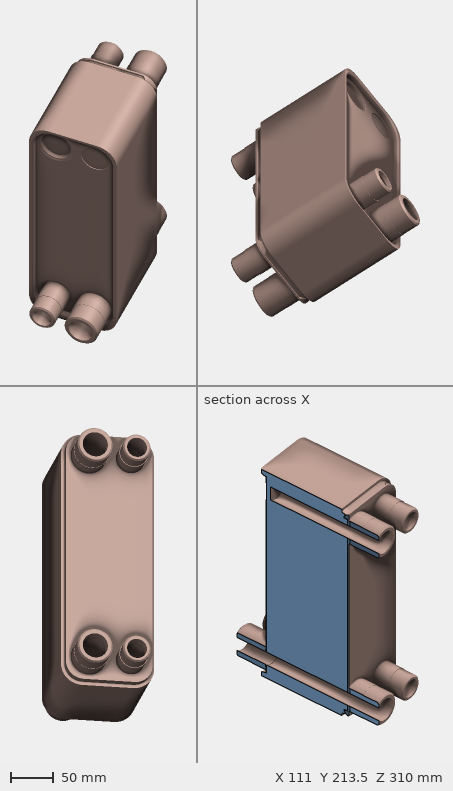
import cadquery as cq
import math


WIDTH = 111.0
HEIGHT = 310.0
CORNER_RADIUS = 25.0
SHOULDER_Y = 121.8

SKIRT_BASE_INSET = 4.0
SKIRT_END_INSET = 6.2

CAVITY_DEPTH = 8.0
LIP_DEPTH = 1.5
CAVITY_MOUTH_INSET = 3.0
LIP_END_INSET = 5.0
CAVITY_FLOOR_INSET = 6.2
CAVITY_CORNER = 30.7

FRONT_THICKNESS = 1.0
FRONT_PLATE_Y = CAVITY_DEPTH - FRONT_THICKNESS
FRONT_PLATE_INSET = 6.8
REAR_FACE_Y = 132.0
REAR_THICKNESS = 2.2
REAR_PLATE_Y = REAR_FACE_Y - REAR_THICKNESS
REAR_PLATE_INSET = 4.0

LUG_DEPTH = 5.5
LUG_RADIUS = CORNER_RADIUS - REAR_PLATE_INSET
LUG_FLARE = 1.0
LUG_TIP_RADIUS = LUG_RADIUS - LUG_FLARE
LUG_INNER_RADIUS = 14.0
LUG_WIDTH = 21.7
LUG_TIP_WIDTH = 10.0

PORT_SPACING_X = 50.0
PORT_X = PORT_SPACING_X / 2
PORT_Z = 124.5
PORT_HOLE_RADIUS = 17.5
DIMPLE_MOUTH_RADIUS = 22.3
DIMPLE_THROAT_RADIUS = 20.8
SEAT_MOUTH_RADIUS = 19.2
SEAT_RADIUS = 17.0
SEAT_DEPTH = 3.5
SEAT_Y = CAVITY_DEPTH + SEAT_DEPTH
COLLAR_RADIUS = 20.8
COLLAR_HEIGHT = 1.5
BLIND_WALL = 3.0

SMALL_RADIUS = 17.0
SMALL_BORE = 11.8
SMALL_RELIEF = 0.5
LARGE_RADIUS = 21.0
LARGE_BORE = 15.0
LARGE_RELIEF = 0.3
END_CHAMFER = 2.0
SMALL_FRONT_STEP_Y = -14.3
SMALL_FRONT_END_Y = -35.0
LARGE_FRONT_STEP_Y = -13.3
LARGE_FRONT_END_Y = -36.5
SMALL_REAR_STEP_Y = 154.7
SMALL_REAR_END_Y = 175.5
LARGE_REAR_STEP_Y = 153.5
LARGE_REAR_END_Y = 177.0

BORES = ((-PORT_X, SMALL_BORE), (PORT_X, LARGE_BORE))


def outline(inset, corner):
    """Pack outline moved inwards by inset, rounded about axes at the corner distance from the sides."""
    sketch = cq.Sketch().rect(WIDTH - 2 * inset, HEIGHT - 2 * inset)
    return sketch.vertices().fillet(corner - inset)


def slab(y_start, y_end, inset, corner=CORNER_RADIUS):
    """Straight block with the inset pack outline."""
    base = cq.Workplane("XZ", origin=(0, y_start, 0)).placeSketch(outline(inset, corner))
    return base.extrude(y_start - y_end)


def tapered_slab(y_start, inset_start, y_end, inset_end, corner=CORNER_RADIUS):
    """Block whose inset changes evenly from one Y to the other."""
    near = outline(inset_start, corner)
    far = outline(inset_end, corner).moved(cq.Location(cq.Vector(0, 0, y_start - y_end)))
    return cq.Workplane("XZ", origin=(0, y_start, 0)).placeSketch(near, far).loft()


def cone(x, z, y_start, radius_start, y_end, radius_end):
    """Cylinder or cone along Y, centred on x and z."""
    profile = [(0, y_start), (radius_start, y_start), (radius_end, y_end), (0, y_end)]
    return cq.Workplane("XY").polyline(profile).close().revolve(360, (0, 0), (0, 1)).translate((x, 0, z))


def corner_lugs():
    """Four flared lugs that reach forward from the corners of the rear plate."""
    tip_y = REAR_PLATE_Y - LUG_DEPTH
    center_x = WIDTH / 2 - CORNER_RADIUS
    center_z = HEIGHT / 2 - CORNER_RADIUS
    flare = cone(0, 0, tip_y, LUG_TIP_RADIUS, REAR_PLATE_Y, LUG_RADIUS)
    wedge = (
        cq.Workplane("YZ", origin=(LUG_INNER_RADIUS, 0, 0))
        .polyline([
            (tip_y, -LUG_TIP_WIDTH / 2),
            (tip_y, LUG_TIP_WIDTH / 2),
            (REAR_PLATE_Y, LUG_WIDTH / 2),
            (REAR_PLATE_Y, -LUG_WIDTH / 2),
        ])
        .close()
        .extrude(LUG_RADIUS - LUG_INNER_RADIUS)
    )
    lugs = []
    for side_x in (-1, 1):
        for side_z in (-1, 1):
            angle = -math.degrees(math.atan2(side_z, side_x))
            lug = wedge.rotate((0, 0, 0), (0, 1, 0), angle).intersect(flare)
            lugs.append(lug.translate((side_x * center_x, 0, side_z * center_z)))
    return lugs


def make_rear_plate():
    plate = slab(REAR_PLATE_Y, REAR_FACE_Y, REAR_PLATE_INSET)
    for lug in corner_lugs():
        plate = plate.union(lug)
    collar_end = REAR_FACE_Y + COLLAR_HEIGHT
    for z in (-PORT_Z, PORT_Z):
        plate = plate.union(cone(PORT_X, z, REAR_PLATE_Y, COLLAR_RADIUS, collar_end, COLLAR_RADIUS))
    for x, bore in BORES:
        for z in (-PORT_Z, PORT_Z):
            plate = plate.cut(cone(x, z, REAR_PLATE_Y, bore, collar_end, bore))
    return plate


def make_front_plate():
    plate = slab(FRONT_PLATE_Y, CAVITY_DEPTH, FRONT_PLATE_INSET, CAVITY_CORNER)
    for z in (-PORT_Z, PORT_Z):
        plate = plate.cut(
            cone(-PORT_X, z, FRONT_PLATE_Y, DIMPLE_MOUTH_RADIUS, CAVITY_DEPTH, DIMPLE_THROAT_RADIUS)
        )
        plate = plate.cut(cone(PORT_X, z, FRONT_PLATE_Y, PORT_HOLE_RADIUS, CAVITY_DEPTH, PORT_HOLE_RADIUS))
    return plate


def make_pack():
    pack = slab(0, SHOULDER_Y, 0)
    pack = pack.union(tapered_slab(SHOULDER_Y, SKIRT_BASE_INSET, REAR_PLATE_Y, SKIRT_END_INSET))
    pack = pack.cut(tapered_slab(0, CAVITY_MOUTH_INSET, LIP_DEPTH, LIP_END_INSET, CAVITY_CORNER))
    pack = pack.cut(tapered_slab(LIP_DEPTH, LIP_END_INSET, CAVITY_DEPTH, CAVITY_FLOOR_INSET, CAVITY_CORNER))
    for z in (-PORT_Z, PORT_Z):
        pack = pack.cut(cone(-PORT_X, z, CAVITY_DEPTH, SEAT_MOUTH_RADIUS, SEAT_Y, SEAT_RADIUS))
    for x, bore in BORES:
        pack = pack.cut(cone(x, -PORT_Z, 0, bore, REAR_PLATE_Y, bore))
        pack = pack.cut(cone(x, PORT_Z, SEAT_Y + BLIND_WALL, bore, REAR_PLATE_Y, bore))
    for lug in corner_lugs():
        pack = pack.cut(lug)
    return pack


def make_nozzle(x, z, radius, bore, relief, base_y, step_y, end_y):
    """Pipe with a slightly slimmer, chamfered outer part."""
    end_radius = radius - relief
    chamfer_y = end_y - math.copysign(END_CHAMFER, end_y - base_y)
    profile = [
        (bore, base_y),
        (radius, base_y),
        (radius, step_y),
        (end_radius, step_y),
        (end_radius, chamfer_y),
        (end_radius - END_CHAMFER, end_y),
        (bore, end_y),
    ]
    pipe = cq.Workplane("XY").polyline(profile).close().revolve(360, (0, 0), (0, 1))
    return pipe.translate((x, 0, z))


rear_plate = make_rear_plate()
front_plate = make_front_plate()
pack = make_pack()

small_front_nozzle = make_nozzle(
    -PORT_X, -PORT_Z, SMALL_RADIUS, SMALL_BORE, SMALL_RELIEF,
    SEAT_Y, SMALL_FRONT_STEP_Y, SMALL_FRONT_END_Y
)
large_front_nozzle = make_nozzle(
    PORT_X, -PORT_Z, LARGE_RADIUS, LARGE_BORE, LARGE_RELIEF,
    FRONT_PLATE_Y, LARGE_FRONT_STEP_Y, LARGE_FRONT_END_Y
)
rear_nozzles = []
for nozzle_z in (-PORT_Z, PORT_Z):
    rear_nozzles.append(make_nozzle(
        -PORT_X, nozzle_z, SMALL_RADIUS, SMALL_BORE, SMALL_RELIEF,
        REAR_FACE_Y, SMALL_REAR_STEP_Y, SMALL_REAR_END_Y
    ))
    rear_nozzles.append(make_nozzle(
        PORT_X, nozzle_z, LARGE_RADIUS, LARGE_BORE, LARGE_RELIEF,
        REAR_FACE_Y + COLLAR_HEIGHT, LARGE_REAR_STEP_Y, LARGE_REAR_END_Y
    ))

result = cq.Compound.makeCompound([
    pack.val(),
    front_plate.val(),
    rear_plate.val(),
    small_front_nozzle.val(),
    large_front_nozzle.val(),
    *[nozzle.val() for nozzle in rear_nozzles],
])